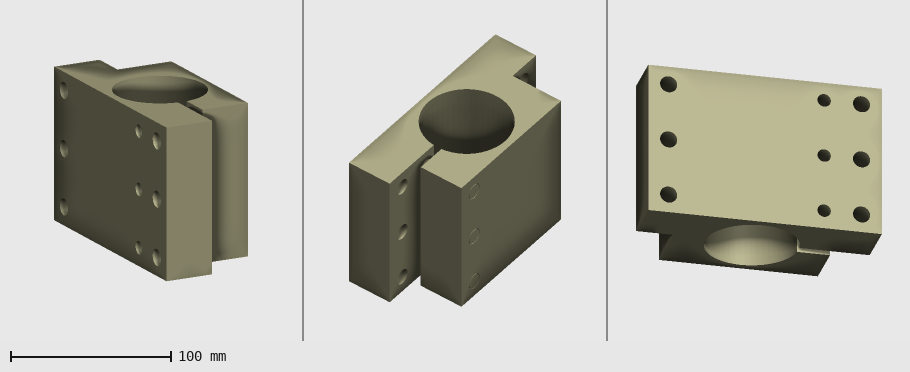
import cadquery as cq

plate_width = 150.0
total_depth = 70.0
height = 100.0

block_width = 102.0
slot_gap = 6.0
plate_depth = (total_depth - slot_gap) / 2
jaw_front = plate_depth + slot_gap

bore_diameter = 60.0
bore_y = total_depth / 2

row_pitch = 38.0
row_heights = [-row_pitch, 0, row_pitch]
mount_hole_diameter = 11.0
mount_hole_x = 62.0
screw_x = 38.0
screw_diameter = 10.0
screw_clearance_diameter = 11.0
tapped_hole_diameter = 8.5


def full_height_box(x_min, x_max, y_min, y_max):
    """Box between the given X and Y limits, as tall as the part."""
    return (
        cq.Workplane("XY", origin=(x_min, y_min, -height / 2))
        .rect(x_max - x_min, y_max - y_min, centered=False)
        .extrude(height)
    )


def cylinder_rows(x_positions, diameter, y_min, y_max):
    """Cylinders along Y, one for each X position in every row."""
    points = [(x, z) for x in x_positions for z in row_heights]
    return (
        cq.Workplane("XZ", origin=(0, y_max, 0))
        .pushPoints(points)
        .circle(diameter / 2)
        .extrude(y_max - y_min)
    )


plate = full_height_box(-plate_width / 2, plate_width / 2, 0, plate_depth)
block = full_height_box(-block_width / 2, block_width / 2, plate_depth, total_depth)
slot = full_height_box(0, block_width / 2, plate_depth, jaw_front)
bore = (
    cq.Workplane("XY", origin=(0, bore_y, -height / 2))
    .circle(bore_diameter / 2)
    .extrude(height)
)
body = plate.union(block).cut(slot).cut(bore)

mount_holes = cylinder_rows([-mount_hole_x, mount_hole_x], mount_hole_diameter, 0, plate_depth)
body = body.cut(mount_holes)

tapped_holes = cylinder_rows([screw_x], tapped_hole_diameter, 0, plate_depth)
clearance_holes = cylinder_rows([screw_x], screw_clearance_diameter, jaw_front, total_depth)
body = body.cut(tapped_holes).cut(clearance_holes)

screws = cylinder_rows([screw_x], screw_diameter, plate_depth, total_depth)
result = body.union(screws)